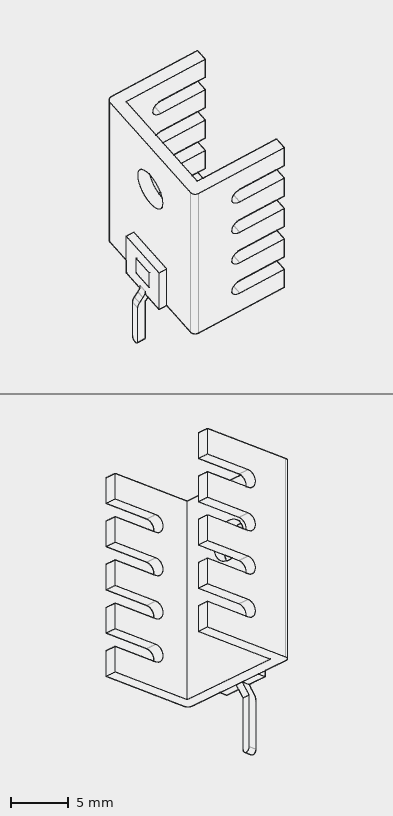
import cadquery as cq

CHANNEL_WIDTH = 13.21
CHANNEL_DEPTH = 9.53
CHANNEL_HEIGHT = 19.05
WALL = 1.2
BEND_RADIUS = 0.5

HOLE_DIAMETER = 3.81
HOLE_HEIGHT = 13.35

SLOT_COUNT = 4
SLOT_WIDTH = 1.68
SLOT_DEPTH = 5.53
FIN_HEIGHT = (CHANNEL_HEIGHT - SLOT_COUNT * SLOT_WIDTH) / (SLOT_COUNT + 1)
SLOT_PITCH = FIN_HEIGHT + SLOT_WIDTH

TAB_THICKNESS = 0.8
PLATE_SIZE = 5.0
PIN_WIDTH = 0.8
PIN_LENGTH = 6.35
CRANK_DROP = 1.0
UPPER_BEND_RADIUS = 1.1
LOWER_BEND_RADIUS = 0.9

STUD_SIZE = 2.0
STUD_HEIGHT = 2.5

PLATE_FRONT = -TAB_THICKNESS
PIN_FRONT = PLATE_FRONT - TAB_THICKNESS


def block(width, y_front, y_back, z_bottom, z_top):
    """Box centred on X between the given Y and Z limits."""
    return (
        cq.Workplane("XY")
        .box(width, y_back - y_front, z_top - z_bottom, centered=(True, False, False))
        .translate((0, y_front, z_bottom))
    )


def make_stud():
    half = STUD_SIZE / 2
    return block(STUD_SIZE, PLATE_FRONT, 0, STUD_HEIGHT - half, STUD_HEIGHT + half)


def make_slot(z_center):
    """Round-ended slot cutter that crosses both side walls."""
    radius = SLOT_WIDTH / 2
    round_center = CHANNEL_DEPTH - SLOT_DEPTH + radius
    straight = block(CHANNEL_WIDTH, round_center, CHANNEL_DEPTH, z_center - radius, z_center + radius)
    round_end = (
        cq.Workplane("YZ")
        .center(round_center, z_center)
        .circle(radius)
        .extrude(CHANNEL_WIDTH / 2, both=True)
    )
    return straight.union(round_end)


def make_heat_sink():
    outer = block(CHANNEL_WIDTH, 0, CHANNEL_DEPTH, 0, CHANNEL_HEIGHT).edges("|Z and <Y").fillet(BEND_RADIUS)
    inner = block(CHANNEL_WIDTH - 2 * WALL, WALL, CHANNEL_DEPTH, 0, CHANNEL_HEIGHT)
    channel = outer.cut(inner)

    hole = (
        cq.Workplane("XZ")
        .center(0, HOLE_HEIGHT)
        .circle(HOLE_DIAMETER / 2)
        .extrude(-WALL)
    )
    channel = channel.cut(hole)

    first_slot = FIN_HEIGHT + SLOT_WIDTH / 2
    for index in range(SLOT_COUNT):
        channel = channel.cut(make_slot(first_slot + index * SLOT_PITCH))
    return channel.union(make_stud())


def make_pin():
    """Pin that steps forward by its own thickness, then runs straight down to a rounded tip."""
    tip_radius = PIN_WIDTH / 2
    tip_center = tip_radius - PIN_LENGTH
    pin = (
        cq.Workplane("YZ")
        .polyline([
            (0, PLATE_SIZE),
            (0, 0),
            (PLATE_FRONT, -CRANK_DROP),
            (PLATE_FRONT, tip_center),
            (PIN_FRONT, tip_center),
            (PIN_FRONT, -CRANK_DROP),
            (PLATE_FRONT, 0),
            (PLATE_FRONT, PLATE_SIZE),
        ])
        .close()
        .extrude(tip_radius, both=True)
    )
    upper_bend = cq.selectors.NearestToPointSelector((0, PLATE_FRONT, 0))
    lower_bend = cq.selectors.NearestToPointSelector((0, PIN_FRONT, -CRANK_DROP))
    pin = pin.edges(upper_bend).fillet(UPPER_BEND_RADIUS)
    pin = pin.edges(lower_bend).fillet(LOWER_BEND_RADIUS)

    tip = (
        cq.Workplane("XZ", origin=(0, PLATE_FRONT, 0))
        .center(0, tip_center)
        .circle(tip_radius)
        .extrude(TAB_THICKNESS)
    )
    return pin.union(tip)


def make_solder_tab():
    plate = block(PLATE_SIZE, PLATE_FRONT, 0, 0, PLATE_SIZE)
    return plate.union(make_pin()).cut(make_stud())


heat_sink = make_heat_sink()
solder_tab = make_solder_tab()

result = cq.Compound.makeCompound([heat_sink.val(), solder_tab.val()])